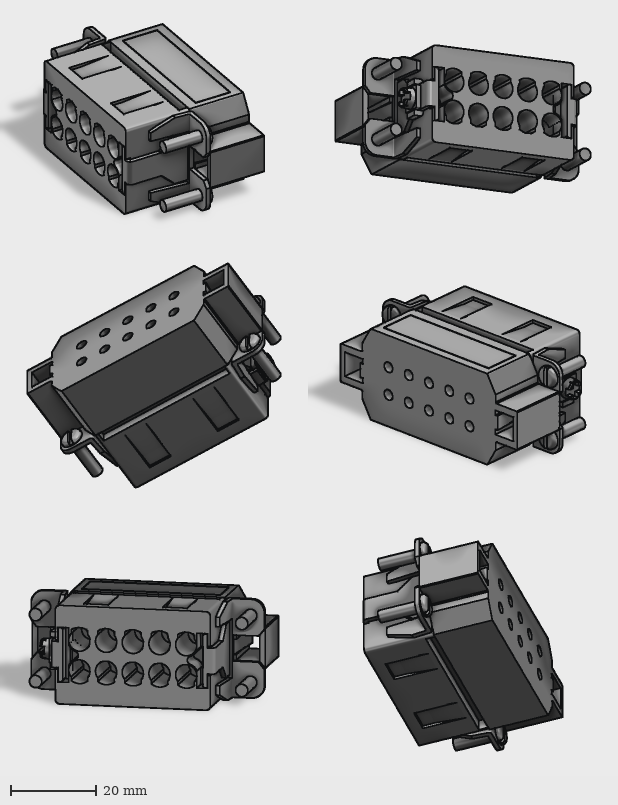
import cadquery as cq
import math

LENGTH = 56.0
DEPTH = 32.2
HEIGHT = 23.65
REAR_Y = 17.5
HALF_LENGTH = LENGTH / 2
HALF_HEIGHT = HEIGHT / 2

FRONT_HALF_WIDTH = 18.6
FRONT_EDGE_RADIUS = 1.05
SHOULDER_HALF_WIDTH = 21.1
SHOULDER_Z = 7.2
CROWN_BEVEL = 0.2
WING_HALF_HEIGHT = 5.0
WING_BEVEL = 0.2
WING_ROOT_BEVEL = 0.3
WING_SLOT_INNER_X = 21.0
WING_SLOT_OUTER_X = 26.65
WING_SLOT_HALF_HEIGHT = 3.15

RAMP_HALF_HEIGHT = 1.85
RAMP_START_X = 20.4
RAMP_END_X = 21.7
RAMP_CROSSING_SHARE = (WING_SLOT_INNER_X - RAMP_START_X) / (RAMP_END_X - RAMP_START_X)
RAMP_CROSSING_Y = REAR_Y + RAMP_CROSSING_SHARE * (DEPTH - REAR_Y)

CONTACT_COLUMNS = 5
CONTACT_ROW_SPAN = 25.65
CONTACT_PITCH_X = CONTACT_ROW_SPAN / (CONTACT_COLUMNS - 1)
CONTACT_ROW_Z = 3.6
CONTACT_BORE = 2.65
CONTACT_RECESS_DIAMETER = 5.1
CONTACT_KEY_DIAMETER = 6.3
CONTACT_KEY_WIDTH = 4.0
CONTACT_RECESS_DEPTH = 14.0

GROOVE_HALF_LENGTH = FRONT_HALF_WIDTH - FRONT_EDGE_RADIUS
GROOVE_START_Y = 15.2
GROOVE_DEPTH = 2.8
WINDOW_WIDTH = 5.9
WINDOW_CENTER_X = 9.45
WINDOW_FRONT_Y = 3.1
WINDOW_BEND_Y = 6.15
WINDOW_REAR_Y = 13.85
WINDOW_DEPTH = 0.8
LABEL_LENGTH = 33.25
LABEL_FRONT_Y = 20.3
LABEL_REAR_Y = 29.7
LABEL_DEPTH = 0.1

SLOT_INNER_X = 15.4
SLOT_OUTER_X = 18.0
SLOT_HALF_HEIGHT = 6.55
SLOT_DEPTH = 4.5
POCKET_OUTER_X = 15.95
POCKET_HALF_HEIGHT = 2.5
POCKET_WALL_RADIUS = 2.8
POCKET_TIP_RADIUS = 1.0
POCKET_DEPTH = 6.7
STRAP_NOTCH_HALF_HEIGHT = 3.5
STRAP_NOTCH_DEPTH = 1.25

SHEET = 1.1
EAR_FRONT_Y = REAR_Y - SHEET
EAR_CORNER_RADIUS = 3.0
EAR_NOTCH_HALF_HEIGHT = 4.75
BEND_X = 20.4
BEND_OUTER_RADIUS = 0.7
BEND_INNER_RADIUS = 0.15
STRAP_X = FRONT_HALF_WIDTH + SHEET
STRAP_HALF_HEIGHT = 3.15
STRAP_BEND_RADIUS = 1.1
PANEL_HALF_HEIGHT = 6.45
PANEL_REAR_Y = 16.2
TAPER_START_Y = 12.6
TAPER_END_Y = 8.9
SIDE_WING_INNER_Z = 7.05
SIDE_WING_OUTER_Z = 9.3
SIDE_WING_TIP_X = 19.55
SIDE_WING_TIP_Y = 6.15
HOOK_INNER_X = 16.8
HOOK_OUTER_X = HOOK_INNER_X + SHEET
HOOK_BEVEL = 0.35
HOOK_HALF_HEIGHT = 6.45
HOOK_LENGTH = 3.35

SCREW_X = 24.75
SCREW_Z = 8.0
SCREW_DIAMETER = 2.95
SCREW_TIP_Y = 6.45
SCREW_HEAD_DIAMETER = 5.45
SCREW_HEAD_HEIGHT = 1.3
SCREW_HEAD_ROUNDING = 0.95
SCREW_SLOT_WIDTH = 1.0
SCREW_SLOT_DEPTH = 1.0

TERMINAL_Y = 6.55
WASHER_SIZE = 5.7
WASHER_THICKNESS = 1.1
WASHER_CORNER_RADIUS = 0.4
TERMINAL_HEAD_BASE_DIAMETER = 5.1
TERMINAL_HEAD_END_DIAMETER = 4.7
TERMINAL_HEIGHT = 3.6
TERMINAL_BEVEL_WIDTH = 0.5
TERMINAL_BEVEL_DROP = 0.2
CROSS_WIDTH = 1.8
CROSS_LENGTH = 4.2
CROSS_DEPTH = 1.1
LUG_LENGTH = 3.75
LUG_HEIGHT = 1.35
LUG_OUTER_X = 20.9
LUG_ROUNDING = 0.7


def block(x_range, y_range, z_range):
    """Box given by its limits along each axis."""
    sizes = [high - low for low, high in (x_range, y_range, z_range)]
    corner = (x_range[0], y_range[0], z_range[0])
    return cq.Workplane("XY").box(*sizes, centered=False).translate(corner)


def y_prism(sketch, start_y, end_y):
    """Extrude a sketch drawn on the XZ plane from start_y to end_y."""
    return sketch.extrude(start_y - end_y).translate((0, start_y, 0))


def y_cylinder(diameter, start_y, end_y, x, z):
    return y_prism(cq.Workplane("XZ").center(x, z).circle(diameter / 2), start_y, end_y)


def with_x_mirror(shape):
    return shape.union(shape.mirror("YZ"))


def with_z_mirror(shape):
    return shape.union(shape.mirror("XY"))


def front_body():
    sketch = cq.Workplane("XZ").rect(2 * FRONT_HALF_WIDTH, HEIGHT)
    return y_prism(sketch, 0, REAR_Y).edges("|Y").fillet(FRONT_EDGE_RADIUS)


def rear_body():
    quarter_outline = [
        (FRONT_HALF_WIDTH - CROWN_BEVEL, HALF_HEIGHT),
        (FRONT_HALF_WIDTH, HALF_HEIGHT - CROWN_BEVEL),
        (SHOULDER_HALF_WIDTH, SHOULDER_Z),
        (SHOULDER_HALF_WIDTH, WING_HALF_HEIGHT + WING_ROOT_BEVEL),
        (SHOULDER_HALF_WIDTH + WING_ROOT_BEVEL, WING_HALF_HEIGHT),
        (HALF_LENGTH - WING_BEVEL, WING_HALF_HEIGHT),
        (HALF_LENGTH, WING_HALF_HEIGHT - WING_BEVEL),
    ]
    right_outline = quarter_outline + [(x, -z) for x, z in reversed(quarter_outline)]
    outline = right_outline + [(-x, -z) for x, z in right_outline]
    return y_prism(cq.Workplane("XZ").polyline(outline).close(), REAR_Y, DEPTH)


def wing_slots():
    slot = block(
        (WING_SLOT_INNER_X, WING_SLOT_OUTER_X),
        (REAR_Y, DEPTH),
        (-WING_SLOT_HALF_HEIGHT, WING_SLOT_HALF_HEIGHT),
    )
    return with_x_mirror(slot)


def wing_ramp_prism(points):
    """Prism with an XY profile as tall as the ramps, on both sides."""
    prism = cq.Workplane("XY").polyline(points).close().extrude(RAMP_HALF_HEIGHT, both=True)
    return with_x_mirror(prism)


def wing_ramp_notches():
    """Recess the front of each inner slot wall down to the ramp."""
    return wing_ramp_prism([
        (RAMP_START_X, REAR_Y),
        (WING_SLOT_INNER_X, REAR_Y),
        (WING_SLOT_INNER_X, RAMP_CROSSING_Y),
    ])


def wing_ramps():
    """Raise the rest of each ramp above the inner slot wall."""
    return wing_ramp_prism([
        (WING_SLOT_INNER_X, RAMP_CROSSING_Y),
        (RAMP_END_X, DEPTH),
        (WING_SLOT_INNER_X, DEPTH),
    ])


def contact_hole(x, row):
    """Through bore with a keyed recess; the key points away from the middle (row is +1 or -1)."""
    z = row * CONTACT_ROW_Z
    bore = y_cylinder(CONTACT_BORE, 0, DEPTH, x, z)
    recess = y_cylinder(CONTACT_RECESS_DIAMETER, 0, CONTACT_RECESS_DEPTH, x, z)
    key_z = sorted((z, z + row * CONTACT_KEY_DIAMETER))
    key_limits = block(
        (x - CONTACT_KEY_WIDTH / 2, x + CONTACT_KEY_WIDTH / 2), (0, CONTACT_RECESS_DEPTH), key_z
    )
    key = y_cylinder(CONTACT_KEY_DIAMETER, 0, CONTACT_RECESS_DEPTH, x, z).intersect(key_limits)
    return bore.union(recess).union(key)


def crosswise_groove():
    """Deep groove in the top face, just in front of the rear body."""
    return block(
        (-GROOVE_HALF_LENGTH, GROOVE_HALF_LENGTH),
        (GROOVE_START_Y, REAR_Y),
        (HALF_HEIGHT - GROOVE_DEPTH, HALF_HEIGHT),
    )


def windows():
    """Two recesses in the top face with a floor that slopes up toward the rear."""
    profile = [
        (WINDOW_FRONT_Y, HALF_HEIGHT),
        (WINDOW_FRONT_Y, HALF_HEIGHT - WINDOW_DEPTH),
        (WINDOW_BEND_Y, HALF_HEIGHT - WINDOW_DEPTH),
        (WINDOW_REAR_Y, HALF_HEIGHT),
    ]
    window = cq.Workplane("YZ").polyline(profile).close().extrude(WINDOW_WIDTH / 2, both=True)
    return with_x_mirror(window.translate((WINDOW_CENTER_X, 0, 0)))


def label_recess():
    return block(
        (-LABEL_LENGTH / 2, LABEL_LENGTH / 2),
        (LABEL_FRONT_Y, LABEL_REAR_Y),
        (HALF_HEIGHT - LABEL_DEPTH, HALF_HEIGHT),
    )


def hook_slot():
    """Left slot for the bracket hook, with the side notch that lets the strap in."""
    slot = block(
        (-SLOT_OUTER_X, -SLOT_INNER_X), (0, SLOT_DEPTH), (-SLOT_HALF_HEIGHT, SLOT_HALF_HEIGHT)
    )
    notch = block(
        (-FRONT_HALF_WIDTH, -SLOT_INNER_X),
        (0, STRAP_NOTCH_DEPTH),
        (-STRAP_NOTCH_HALF_HEIGHT, STRAP_NOTCH_HALF_HEIGHT),
    )
    return slot.union(notch)


def hook_pocket():
    """Left pocket, deeper than the slot, narrowing to a round tip between the two corner contact holes."""
    corner_x = -CONTACT_ROW_SPAN / 2
    center_distance = POCKET_WALL_RADIUS + POCKET_TIP_RADIUS
    tip_offset = math.sqrt(center_distance**2 - CONTACT_ROW_Z**2)
    tangent_x = corner_x - tip_offset * POCKET_WALL_RADIUS / center_distance
    pocket = block(
        (-POCKET_OUTER_X, tangent_x), (0, POCKET_DEPTH), (-POCKET_HALF_HEIGHT, POCKET_HALF_HEIGHT)
    )
    for z in (-CONTACT_ROW_Z, CONTACT_ROW_Z):
        pocket = pocket.cut(y_cylinder(2 * POCKET_WALL_RADIUS, 0, POCKET_DEPTH, corner_x, z))
    return pocket.union(y_cylinder(2 * POCKET_TIP_RADIUS, 0, POCKET_DEPTH, corner_x - tip_offset, 0))


def make_housing():
    housing = front_body().union(rear_body())
    housing = housing.cut(wing_slots()).cut(wing_ramp_notches()).union(wing_ramps())
    for column in range(CONTACT_COLUMNS):
        x = column * CONTACT_PITCH_X - CONTACT_ROW_SPAN / 2
        for row in (-1, 1):
            housing = housing.cut(contact_hole(x, row))
    housing = housing.cut(with_z_mirror(crosswise_groove())).cut(with_z_mirror(windows()))
    housing = housing.cut(label_recess())
    return housing.cut(with_x_mirror(hook_slot())).cut(with_x_mirror(hook_pocket()))


def edge_near(x, y):
    """Selector for the vertical edge through a point at mid height."""
    return cq.selectors.NearestToPointSelector((x, y, 0))


def bent_sheet():
    """Full-height sheet: the flat ears and the wall that leans from the bend to the housing."""
    lean = (BEND_X - SIDE_WING_TIP_X) / (EAR_FRONT_Y - SIDE_WING_TIP_Y)
    contact_y = SIDE_WING_TIP_Y + (STRAP_X - SIDE_WING_TIP_X) / lean
    profile = [
        (-HALF_LENGTH, REAR_Y),
        (-HALF_LENGTH, EAR_FRONT_Y),
        (-BEND_X, EAR_FRONT_Y),
        (-SIDE_WING_TIP_X, SIDE_WING_TIP_Y),
        (-FRONT_HALF_WIDTH, SIDE_WING_TIP_Y),
        (-FRONT_HALF_WIDTH, contact_y),
        (-BEND_X + SHEET, EAR_FRONT_Y),
        (-BEND_X + SHEET, REAR_Y),
    ]
    sheet = cq.Workplane("XY").polyline(profile).close().extrude(HALF_HEIGHT, both=True)
    sheet = sheet.edges(edge_near(-BEND_X + SHEET, REAR_Y)).fillet(BEND_OUTER_RADIUS)
    return sheet.edges(edge_near(-BEND_X, EAR_FRONT_Y)).fillet(BEND_INNER_RADIUS)


def sheet_opening():
    """Space between the two side wings, open toward the front and sloped along their tops."""
    middle = block((-HALF_LENGTH, 0), (0, PANEL_REAR_Y), (-SIDE_WING_INNER_Z, SIDE_WING_INNER_Z))
    above_wing = [
        (SIDE_WING_TIP_Y, SIDE_WING_OUTER_Z),
        (TAPER_START_Y, HALF_HEIGHT),
        (SIDE_WING_TIP_Y, HALF_HEIGHT),
    ]
    corner = cq.Workplane("YZ").polyline(above_wing).close().extrude(-HALF_LENGTH)
    return middle.union(with_z_mirror(corner))


def ear_opening():
    """Opening between the ears that clears the wing slot and widens at the outer end."""
    upper = [
        (-HALF_LENGTH, EAR_NOTCH_HALF_HEIGHT),
        (-WING_SLOT_OUTER_X, WING_SLOT_HALF_HEIGHT),
        (-BEND_X, WING_SLOT_HALF_HEIGHT),
    ]
    outline = upper + [(x, -z) for x, z in reversed(upper)]
    front_y = EAR_FRONT_Y - BEND_INNER_RADIUS
    return y_prism(cq.Workplane("XZ").polyline(outline).close(), front_y, REAR_Y)


def central_panel():
    """Flat panel against the housing side that tapers to the strap."""
    upper = [
        (PANEL_REAR_Y, PANEL_HALF_HEIGHT),
        (TAPER_START_Y, PANEL_HALF_HEIGHT),
        (TAPER_END_Y, STRAP_HALF_HEIGHT),
        (0, STRAP_HALF_HEIGHT),
    ]
    outline = upper + [(y, -z) for y, z in reversed(upper)]
    panel = cq.Workplane("YZ").polyline(outline).close().extrude(-SHEET)
    panel = panel.translate((-FRONT_HALF_WIDTH, 0, 0)).union(strap_hook())
    return panel.edges(edge_near(-STRAP_X, 0)).fillet(STRAP_BEND_RADIUS)


def strap_hook():
    """End of the strap, bent over the contact face and into the hook slot."""
    bridge = block(
        (-FRONT_HALF_WIDTH, -HOOK_INNER_X), (0, SHEET), (-STRAP_HALF_HEIGHT, STRAP_HALF_HEIGHT)
    )
    hook = block(
        (-HOOK_OUTER_X, -HOOK_INNER_X), (0, HOOK_LENGTH), (-HOOK_HALF_HEIGHT, HOOK_HALF_HEIGHT)
    )
    return bridge.union(hook.edges("|Y and >X").chamfer(HOOK_BEVEL))


def fixing_screw(z):
    shank = y_cylinder(SCREW_DIAMETER, SCREW_TIP_Y, REAR_Y, -SCREW_X, z)
    head_top = REAR_Y + SCREW_HEAD_HEIGHT
    head = y_cylinder(SCREW_HEAD_DIAMETER, REAR_Y, head_top, -SCREW_X, z)
    head = head.faces(">Y").edges().fillet(SCREW_HEAD_ROUNDING)
    screwdriver_slot = block(
        (-SCREW_X - SCREW_SLOT_WIDTH / 2, -SCREW_X + SCREW_SLOT_WIDTH / 2),
        (head_top - SCREW_SLOT_DEPTH, head_top),
        (z - SCREW_HEAD_DIAMETER, z + SCREW_HEAD_DIAMETER),
    )
    return shank.union(head.cut(screwdriver_slot))


def make_bracket():
    bracket = bent_sheet().cut(sheet_opening()).cut(ear_opening())
    bracket = bracket.edges("|Y and <X and (>Z or <Z)").fillet(EAR_CORNER_RADIUS)
    bracket = bracket.union(central_panel())
    for z in (-SCREW_Z, SCREW_Z):
        bracket = bracket.union(fixing_screw(z))
    return bracket


def earth_terminal():
    """Square washer and cross-slotted screw head standing on the strap, between two lugs."""
    plane = cq.Workplane("YZ").center(TERMINAL_Y, 0)
    washer = plane.rect(WASHER_SIZE, WASHER_SIZE).extrude(-WASHER_THICKNESS)
    washer = washer.edges("|X").fillet(WASHER_CORNER_RADIUS)
    head_profile = [
        (-WASHER_THICKNESS, 0),
        (-WASHER_THICKNESS, TERMINAL_HEAD_BASE_DIAMETER / 2),
        (TERMINAL_BEVEL_WIDTH - TERMINAL_HEIGHT, TERMINAL_HEAD_END_DIAMETER / 2),
        (-TERMINAL_HEIGHT, TERMINAL_HEAD_END_DIAMETER / 2 - TERMINAL_BEVEL_DROP),
        (-TERMINAL_HEIGHT, 0),
    ]
    head = cq.Workplane("XY").polyline(head_profile).close().revolve(360, (0, 0, 0), (1, 0, 0))
    head = head.translate((0, TERMINAL_Y, 0))
    head_end = plane.workplane(offset=-TERMINAL_HEIGHT)
    open_arm = head_end.rect(WASHER_SIZE, CROSS_WIDTH).extrude(CROSS_DEPTH)
    closed_arm = head_end.rect(CROSS_WIDTH, CROSS_LENGTH).extrude(CROSS_DEPTH)
    terminal = washer.union(head.cut(open_arm).cut(closed_arm))
    return terminal.translate((-STRAP_X, 0, 0))


def lug():
    """Upper lug beside the terminal, rising from the edge of the strap."""
    body = block(
        (-LUG_OUTER_X, -FRONT_HALF_WIDTH),
        (TERMINAL_Y - LUG_LENGTH / 2, TERMINAL_Y + LUG_LENGTH / 2),
        (STRAP_HALF_HEIGHT, STRAP_HALF_HEIGHT + LUG_HEIGHT),
    )
    return body.edges("|Y and >X and >Z").fillet(LUG_ROUNDING)


housing = make_housing()
right_bracket = make_bracket().mirror("YZ")
left_bracket = make_bracket().union(earth_terminal()).union(with_z_mirror(lug()))

result = cq.Compound.makeCompound([housing.val(), left_bracket.val(), right_bracket.val()])